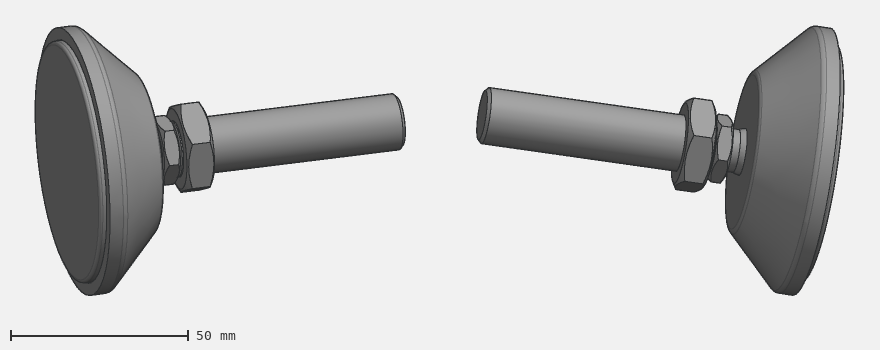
import cadquery as cq
import math

OVERALL_LENGTH = 96.9

PAD_RADIUS = 34.3
PAD_FILLET = 1.0
PAD_THICKNESS = 4.1

HOUSING_RADIUS = 38.0
HOUSING_BOTTOM = 2.0
HOUSING_TOP = 22.0
CONE_BOTTOM = 6.8
CONE_TOP_RADIUS = HOUSING_RADIUS - (HOUSING_TOP - CONE_BOTTOM)
HOUSING_FILLET = 2.0
PAD_CLEARANCE = 0.2

THREAD_RADIUS = 7.99
THREAD_CHAMFER = 1.0
THREAD_RUNOUT_RADIUS = 7.2
THREAD_BOTTOM = 31.5
NECK_RADIUS = 6.1
BALL_RADIUS = 6.8
BALL_CENTRE = 20.8

FLATS_HEX_WIDTH = 17.0
FLATS_HEX_BOTTOM = 26.3
FLATS_HEX_TOP = 30.9
NUT_WIDTH = 24.0
NUT_BOTTOM = 31.9
NUT_TOP = 39.9
FACE_RATIO = 0.95
HEX_CHAMFER_ANGLE = 30.0
FLATS_HEX_TURN = 0.0
NUT_TURN = 30.0


def revolve_profile(profile):
    """Turn a closed (radius, y) wire about the Y axis."""
    return profile.close().revolve(360, (0, 0, 0), (0, 1, 0))


def cylinder(radius, bottom, top):
    """Round bar along Y."""
    return cq.Workplane("XZ", origin=(0, bottom, 0)).circle(radius).extrude(bottom - top)


def ball():
    """Ball at the foot end of the spindle, also the shape of its socket."""
    return cq.Workplane("XY", origin=(0, BALL_CENTRE, 0)).sphere(BALL_RADIUS)


def chamfered_hexagon(width, bottom, top, turn):
    """Hexagonal prism along Y with its corners turned off conically at both ends."""
    corner_radius = width / math.sqrt(3)
    face_radius = width / 2 * FACE_RATIO
    drop = (corner_radius - face_radius) * math.tan(math.radians(HEX_CHAMFER_ANGLE))
    prism = (
        cq.Workplane("XZ", origin=(0, bottom, 0))
        .polygon(6, 2 * corner_radius)
        .extrude(bottom - top)
        .rotate((0, 0, 0), (0, 1, 0), turn)
    )
    envelope = revolve_profile(
        cq.Workplane("XY")
        .moveTo(0, bottom)
        .lineTo(face_radius, bottom)
        .lineTo(corner_radius, bottom + drop)
        .lineTo(corner_radius, top - drop)
        .lineTo(face_radius, top)
        .lineTo(0, top)
    )
    return prism.intersect(envelope)


def make_pad():
    disc = cylinder(PAD_RADIUS, 0, PAD_THICKNESS)
    return disc.faces("<Y").edges().fillet(PAD_FILLET)


def make_spindle():
    shaft = revolve_profile(
        cq.Workplane("XY")
        .moveTo(0, BALL_CENTRE)
        .lineTo(NECK_RADIUS, BALL_CENTRE)
        .lineTo(NECK_RADIUS, FLATS_HEX_TOP)
        .lineTo(THREAD_RUNOUT_RADIUS, FLATS_HEX_TOP)
        .lineTo(THREAD_RADIUS, THREAD_BOTTOM)
        .lineTo(THREAD_RADIUS, OVERALL_LENGTH - THREAD_CHAMFER)
        .lineTo(THREAD_RADIUS - THREAD_CHAMFER, OVERALL_LENGTH)
        .lineTo(0, OVERALL_LENGTH)
    )
    flats = chamfered_hexagon(FLATS_HEX_WIDTH, FLATS_HEX_BOTTOM, FLATS_HEX_TOP, FLATS_HEX_TURN)
    return shaft.union(flats).union(ball())


def make_nut():
    blank = chamfered_hexagon(NUT_WIDTH, NUT_BOTTOM, NUT_TOP, NUT_TURN)
    return blank.cut(cylinder(THREAD_RADIUS, NUT_BOTTOM, NUT_TOP))


def make_housing():
    shell = revolve_profile(
        cq.Workplane("XY")
        .moveTo(0, HOUSING_BOTTOM)
        .lineTo(HOUSING_RADIUS, HOUSING_BOTTOM)
        .lineTo(HOUSING_RADIUS, CONE_BOTTOM)
        .lineTo(CONE_TOP_RADIUS, HOUSING_TOP)
        .lineTo(0, HOUSING_TOP)
    )
    cone_edges = shell.faces("%CONE").edges("%CIRCLE")
    shell = cone_edges.fillet(HOUSING_FILLET)
    pad_recess = cylinder(PAD_RADIUS + PAD_CLEARANCE, HOUSING_BOTTOM, PAD_THICKNESS)
    return shell.cut(pad_recess).cut(ball())


pad = make_pad()
housing = make_housing()
spindle = make_spindle()
nut = make_nut()

result = cq.Compound.makeCompound([pad.val(), housing.val(), spindle.val(), nut.val()])